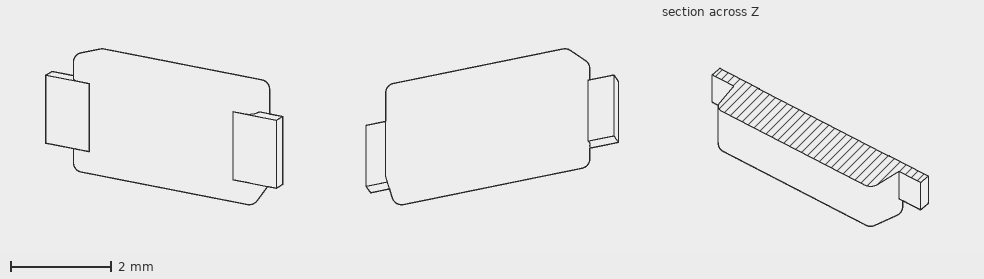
import cadquery as cq
import math

body_length = 4.21
body_height = 2.53
body_depth = 1.0
draft_angle = 9.0
edge_radius = 0.2

lead_span = 5.3
lead_length = 1.0
lead_width = 1.45
lead_thickness = 0.26
lead_standoff = 0.01

lead_face_y = 0.0
body_face_y = lead_face_y + lead_standoff

draft = math.radians(draft_angle)
rounding_loss = edge_radius * (1 / math.cos(draft) + math.tan(draft) - 1)
sharp_length = body_length + 2 * rounding_loss
sharp_height = body_height + 2 * rounding_loss


def make_body():
    """Block narrowing toward +Y, with every edge rounded."""
    narrowing = 2 * body_depth * math.tan(draft)
    block = (
        cq.Workplane("XZ", origin=(0, body_face_y, 0))
        .rect(sharp_length, sharp_height)
        .workplane(offset=-body_depth)
        .rect(sharp_length - narrowing, sharp_height - narrowing)
        .loft(ruled=True)
    )
    return block.edges().fillet(edge_radius)


def make_lead(side):
    """Flat lead at the -X end (side = -1) or the +X end (side = 1)."""
    center_x = side * (lead_span - lead_length) / 2
    return (
        cq.Workplane("XY")
        .box(lead_length, lead_thickness, lead_width, centered=(True, False, True))
        .translate((center_x, lead_face_y, 0))
    )


result = make_body()
for end in (-1, 1):
    result = result.union(make_lead(end))